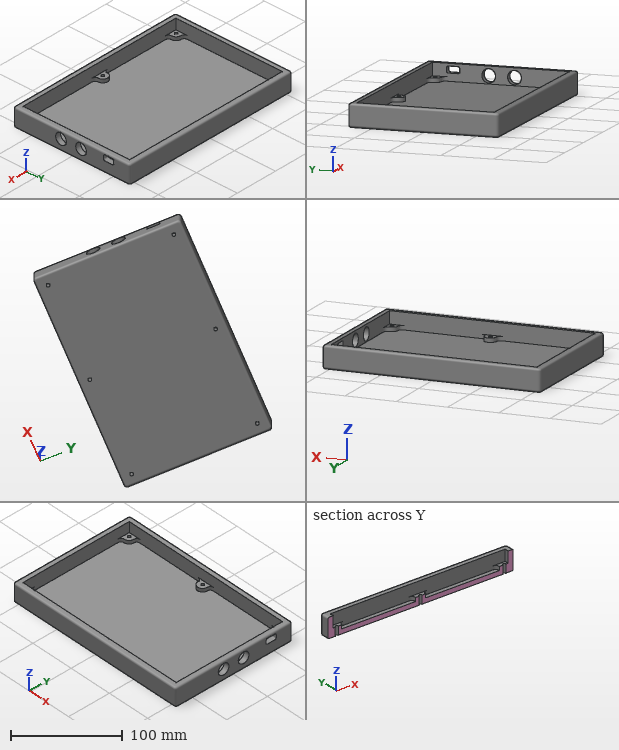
import cadquery as cq

LENGTH = 213.0
WIDTH = 143.0
HEIGHT = 22.0
WALL = 6.4
FLOOR = 5.5
CORNER_RADIUS = 3.0
RIM_RADIUS = 2.1

SCREW_INSET = 10.5
SCREW_DIAMETER = 3.2
PAD_RADIUS = 6.0
PAD_HEIGHT = 4.0
PAD_BLEND = 3.8
PAD_EMBED = 1.0

PORT_DIAMETER = 13.0
PORT_SPACING = 24.5
PORT_MIDDLE_Y = -0.6
PORT_Z = 13.0
SLOT_WIDTH = 12.4
SLOT_HEIGHT = 6.4
SLOT_CORNER_RADIUS = 1.7
SLOT_Y = 45.4
SLOT_Z = 16.2

SCREW_X = LENGTH / 2 - SCREW_INSET
SCREW_Y = WIDTH / 2 - SCREW_INSET
SCREW_POINTS = [(x, y) for x in (-SCREW_X, 0, SCREW_X) for y in (-SCREW_Y, SCREW_Y)]


def make_tray():
    """Open-topped box with rounded outer edges."""
    block = cq.Workplane("XY").box(LENGTH, WIDTH, HEIGHT, centered=(True, True, False))
    block = block.edges("|Z").fillet(CORNER_RADIUS)
    block = block.faces("<Z or >Z").edges().fillet(RIM_RADIUS)
    cavity = (
        cq.Workplane("XY", origin=(0, 0, FLOOR))
        .rect(LENGTH - 2 * WALL, WIDTH - 2 * WALL)
        .extrude(HEIGHT)
    )
    return block.cut(cavity)


def make_pad(x, y, wall_angle):
    """Round-nosed pad at (x, y), flaring with concave arcs into the wall.

    The wall lies toward +Y at angle 0; wall_angle turns the pad about its screw axis.
    """
    wall = SCREW_INSET - WALL
    flare = PAD_RADIUS + PAD_BLEND
    pad = (
        cq.Workplane("XY")
        .moveTo(flare, wall)
        .radiusArc((PAD_RADIUS, wall - PAD_BLEND), -PAD_BLEND)
        .lineTo(PAD_RADIUS, 0)
        .threePointArc((0, -PAD_RADIUS), (-PAD_RADIUS, 0))
        .lineTo(-PAD_RADIUS, wall - PAD_BLEND)
        .radiusArc((-flare, wall), -PAD_BLEND)
        .lineTo(-flare, wall + PAD_EMBED)
        .lineTo(flare, wall + PAD_EMBED)
        .close()
        .extrude(PAD_HEIGHT)
    )
    return pad.rotate((0, 0, 0), (0, 0, 1), wall_angle).translate((x, y, FLOOR))


def add_pads(body):
    """Pads at all screw points; a corner pad joins both of its walls."""
    for x, y in SCREW_POINTS:
        body = body.union(make_pad(x, y, 0 if y > 0 else 180))
        if x != 0:
            body = body.union(make_pad(x, y, -90 if x > 0 else 90))
    return body


def make_wall_openings():
    """Two round ports and one rounded slot passing through the +X wall."""
    wall_plane = cq.Workplane("YZ", origin=(LENGTH / 2 - WALL, 0, 0))
    port_points = [(PORT_MIDDLE_Y + side * PORT_SPACING / 2, PORT_Z) for side in (-1, 1)]
    ports = (
        wall_plane.pushPoints(port_points)
        .circle(PORT_DIAMETER / 2)
        .extrude(WALL)
    )
    slot = (
        wall_plane.center(SLOT_Y, SLOT_Z)
        .rect(SLOT_WIDTH, SLOT_HEIGHT)
        .extrude(WALL)
        .edges("|X")
        .fillet(SLOT_CORNER_RADIUS)
    )
    return ports.union(slot)


screw_holes = (
    cq.Workplane("XY")
    .pushPoints(SCREW_POINTS)
    .circle(SCREW_DIAMETER / 2)
    .extrude(FLOOR + PAD_HEIGHT)
)

result = add_pads(make_tray()).cut(screw_holes).cut(make_wall_openings())